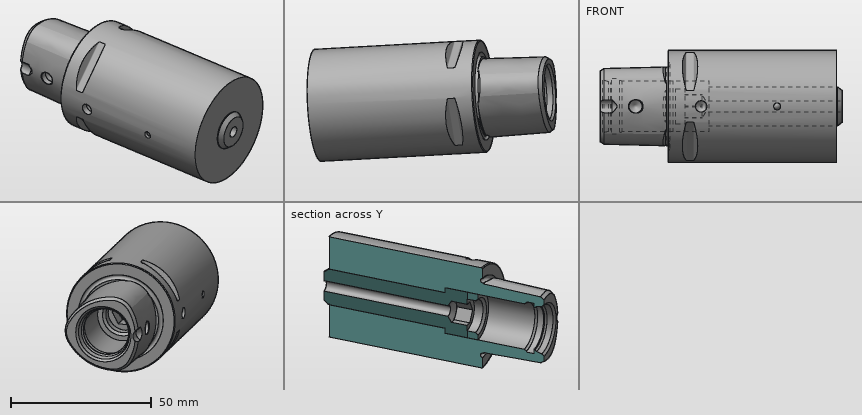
import cadquery as cq
import math


total_length = 86.0
body_diameter = 40.0
body_radius = body_diameter / 2
face_x = 24.0
body_end_x = 84.0
body_chamfer = 0.35

polygon_mean_radius = 14.0
polygon_lobe_height = 1.8
polygon_eccentricity = polygon_lobe_height / 2
corner_arc_radius = 8.2
corner_spacing = 120
taper_end_x = 22.3
taper_per_side = 1 / 40
shank_chamfer_length = 1.4
shank_chamfer_depth = 0.9

neck_radius = 14.0
ledge_length = 0.4
face_groove_outer_radius = 15.65
neck_root_x = face_x + (face_groove_outer_radius - neck_radius) / 2

mouth_radius = 10.15
mouth_chamfer_x = 0.9
mouth_inner_radius = 9.4
lip_start_x = 2.9
lip_start_radius = 8.9
lip_x = 3.6
lip_end_x = 4.0
lip_radius = 8.3
pocket_radius = 9.9
pocket_end_x = 6.45
pocket_fillet = 0.4
bore_x = 7.7
bore_radius = 8.95

slot_count = 4
slot_x = 31.9
slot_floor_width = 2.7
slot_floor_distance = 17.55
slot_wall_angle = 30.0
slot_floor_fillet = 0.4

drill_point_half_angle = 59.0
notch_diameter = 5.0
notch_axis_radius = 13.4
notch_depth = 4.2
notch_point_half_angle = 45.0
shank_dimple_x = 12.55
shank_dimple_diameter = 4.65
shank_dimple_floor_radius = 10.6
shank_dimple_mouth_diameter = 5.3
body_dimple_x = 35.9
body_dimple_diameter = 4.0
body_dimple_floor_radius = 17.6

ball_x = 62.9
ball_diameter = 2.5
ball_radius = ball_diameter / 2
ball_recess = 0.5

ring_x = 25.8
ring_length = 4.3
ring_countersink_radius = 7.1
ring_hole_radius = 6.2
head_x = ring_x + ring_length
head_length = 8.6
shoulder_x = head_x + head_length
bolt_radius = 7.0
bolt_end_radius = 5.7
bolt_chamfer_length = 1.6
coolant_radius = 2.0
socket_across_flats = 8.2
socket_depth = 6.0
socket_turn = 2.0
socket_cone_radius = 4.3


def turned(points):
    """Solid of revolution about X from a closed outline of (x, radius) points."""
    return cq.Workplane("XY").polyline(points).close().revolve(360, (0, 0, 0), (1, 0, 0))


def drill(diameter, length, point_half_angle=drill_point_half_angle):
    """Drill shape along +X from the origin: a cylinder with a conical point."""
    radius = diameter / 2
    tip_x = length + radius / math.tan(math.radians(point_half_angle))
    return turned([(0, 0), (0, radius), (length, radius), (tip_x, 0)])


def radial_drill(x, diameter, start_radius, floor_radius):
    """Drill entering from -Y toward the axis, its cylinder ending at floor_radius."""
    tool = drill(diameter, start_radius - floor_radius)
    return tool.rotate((0, 0, 0), (0, 0, 1), 90).translate((x, -start_radius, 0))


def polygon_wire(x, growth):
    """Closed polygon outline at x, offset outward by growth from the size at the taper end."""
    corner_center = polygon_mean_radius + polygon_eccentricity - corner_arc_radius
    flank_reach = polygon_mean_radius - polygon_eccentricity
    gap = flank_reach - corner_arc_radius
    flank_center = (corner_center**2 - gap**2) / (2 * gap - corner_center)
    across = corner_center + flank_center / 2
    up = flank_center * math.sqrt(3) / 2
    joint_direction = math.atan2(up, across)
    arc_radius = corner_arc_radius + growth
    joint_y = corner_center + arc_radius * math.cos(joint_direction)
    joint_z = arc_radius * math.sin(joint_direction)
    joint_radius = math.hypot(joint_y, joint_z)
    joint_angle = math.degrees(math.atan2(joint_z, joint_y))

    def point(radius, degrees):
        angle = math.radians(degrees)
        return cq.Vector(x, radius * math.cos(angle), radius * math.sin(angle))

    edges = []
    for corner in (0, corner_spacing, 2 * corner_spacing):
        corner_start = point(joint_radius, corner - joint_angle)
        corner_top = point(corner_center + arc_radius, corner)
        corner_end = point(joint_radius, corner + joint_angle)
        flank_middle = point(flank_reach + growth, corner + corner_spacing / 2)
        next_corner_start = point(joint_radius, corner + corner_spacing - joint_angle)
        edges.append(cq.Edge.makeThreePointArc(corner_start, corner_top, corner_end))
        edges.append(cq.Edge.makeThreePointArc(corner_end, flank_middle, next_corner_start))
    return cq.Wire.assembleEdges(edges)


def polygon_section(x_start, growth_start, x_end, growth_end):
    """Length of polygon shank between two outlines."""
    wires = [polygon_wire(x_start, growth_start), polygon_wire(x_end, growth_end)]
    return cq.Workplane(cq.Solid.makeLoft(wires, True))


def make_shank():
    """Chamfered tapered polygon, with its corners turned down to a neck before the face."""
    taper_start_growth = -taper_per_side * (taper_end_x - shank_chamfer_length)
    end_growth = taper_start_growth - shank_chamfer_depth
    chamfer = polygon_section(0, end_growth, shank_chamfer_length, taper_start_growth)
    taper = polygon_section(shank_chamfer_length, taper_start_growth, taper_end_x, 0)
    corner_radius = polygon_mean_radius + polygon_eccentricity
    neck_x = taper_end_x + corner_radius - neck_radius
    neck_envelope = turned([
        (taper_end_x, 0),
        (taper_end_x, corner_radius),
        (neck_x, neck_radius),
        (neck_root_x, neck_radius),
        (neck_root_x, 0),
    ])
    neck = polygon_section(taper_end_x, 0, neck_root_x, 0).intersect(neck_envelope)
    ledge_x = face_x - ledge_length
    ledge = turned([(ledge_x, 0), (ledge_x, neck_radius), (neck_root_x, neck_radius), (neck_root_x, 0)])
    return chamfer.union(taper).union(neck).union(ledge)


def make_body():
    """Cylindrical body with a concave groove in the face around the shank."""
    body = turned([
        (face_x, 0),
        (face_x, body_radius - body_chamfer),
        (face_x + body_chamfer, body_radius),
        (body_end_x, body_radius),
        (body_end_x, 0),
    ])
    groove_middle_radius = (neck_radius + face_groove_outer_radius) / 2
    groove = (
        cq.Workplane("XY")
        .moveTo(face_x, neck_radius)
        .threePointArc((neck_root_x, groove_middle_radius), (face_x, face_groove_outer_radius))
        .close()
        .revolve(360, (0, 0, 0), (1, 0, 0))
    )
    return body.cut(groove)


def make_bore():
    """Stepped bore: mouth, lip, rounded pocket, ring and head bore, then the bolt hole."""
    return (
        cq.Workplane("XY")
        .moveTo(0, 0)
        .lineTo(0, mouth_radius)
        .lineTo(mouth_chamfer_x, mouth_inner_radius)
        .lineTo(lip_start_x, lip_start_radius)
        .lineTo(lip_x, lip_radius)
        .lineTo(lip_end_x, lip_radius)
        .lineTo(lip_end_x, pocket_radius)
        .lineTo(pocket_end_x, pocket_radius)
        .radiusArc((pocket_end_x + pocket_fillet, pocket_radius - pocket_fillet), pocket_fillet)
        .lineTo(bore_x, bore_radius)
        .lineTo(shoulder_x, bore_radius)
        .lineTo(shoulder_x, bolt_radius)
        .lineTo(body_end_x, bolt_radius)
        .lineTo(body_end_x, 0)
        .close()
        .revolve(360, (0, 0, 0), (1, 0, 0))
    )


def make_slot(angle):
    """Cutter for one flared slot with a flat floor, at the given angle about X."""
    height = body_radius - slot_floor_distance
    half_floor = slot_floor_width / 2
    half_top = half_floor + height * math.tan(math.radians(slot_wall_angle))
    return (
        cq.Workplane("XZ", origin=(slot_x, 0, slot_floor_distance))
        .polyline([(-half_floor, 0), (half_floor, 0), (half_top, height), (-half_top, height)])
        .close()
        .extrude(body_radius, both=True)
        .edges("|Y and <Z")
        .fillet(slot_floor_fillet)
        .rotate((0, 0, 0), (1, 0, 0), angle)
    )


def make_shank_dimple():
    """Blind drilled hole in the shank flank with a countersunk mouth."""
    flank_radius = (
        polygon_mean_radius - polygon_eccentricity - taper_per_side * (taper_end_x - shank_dimple_x)
    )
    hole = radial_drill(
        shank_dimple_x, shank_dimple_diameter, polygon_mean_radius, shank_dimple_floor_radius
    )
    countersink = radial_drill(
        shank_dimple_x, shank_dimple_mouth_diameter, polygon_mean_radius, flank_radius
    )
    return hole.union(countersink)


def make_housing():
    housing = make_body().union(make_shank()).cut(make_bore())
    for index in range(slot_count):
        housing = housing.cut(make_slot(360 / slot_count * (index + 0.5)))
    notch = drill(notch_diameter, notch_depth, notch_point_half_angle)
    notch = notch.translate((0, -notch_axis_radius, 0))
    body_dimple = radial_drill(
        body_dimple_x, body_dimple_diameter, body_radius, body_dimple_floor_radius
    )
    ball_hole_depth = ball_recess + ball_diameter
    ball_hole = cq.Workplane(
        cq.Solid.makeCylinder(
            ball_radius, ball_hole_depth, cq.Vector(ball_x, -body_radius, 0), cq.Vector(0, 1, 0)
        )
    )
    return housing.cut(notch).cut(make_shank_dimple()).cut(body_dimple).cut(ball_hole)


def make_retaining_ring():
    """Ring in front of the bolt head, with a countersunk hole for the hexagon key."""
    countersink_end_x = ring_x + ring_countersink_radius - ring_hole_radius
    return turned([
        (ring_x, ring_countersink_radius),
        (ring_x, bore_radius),
        (head_x, bore_radius),
        (head_x, ring_hole_radius),
        (countersink_end_x, ring_hole_radius),
    ])


def make_bolt():
    """Hollow bolt with a hexagon socket in its head and a chamfered end past the body."""
    bolt = turned([
        (head_x, 0),
        (head_x, bore_radius),
        (shoulder_x, bore_radius),
        (shoulder_x, bolt_radius),
        (total_length - bolt_chamfer_length, bolt_radius),
        (total_length, bolt_end_radius),
        (total_length, 0),
    ])
    across_corners = socket_across_flats / math.cos(math.radians(30))
    socket = (
        cq.Workplane("YZ", origin=(head_x, 0, 0))
        .polygon(6, across_corners)
        .extrude(socket_depth)
        .rotate((0, 0, 0), (1, 0, 0), socket_turn)
    )
    socket_floor_x = head_x + socket_depth
    cone_length = (socket_cone_radius - coolant_radius) / math.tan(math.radians(drill_point_half_angle))
    coolant_hole = turned([
        (socket_floor_x, 0),
        (socket_floor_x, socket_cone_radius),
        (socket_floor_x + cone_length, coolant_radius),
        (total_length, coolant_radius),
        (total_length, 0),
    ])
    return bolt.cut(socket).cut(coolant_hole)


def make_ball():
    """Ball resting on the floor of its hole, just below the body surface."""
    center_y = -(body_radius - ball_recess - ball_radius)
    return cq.Workplane("XY", origin=(ball_x, center_y, 0)).sphere(ball_radius)


housing = make_housing()
retaining_ring = make_retaining_ring()
bolt = make_bolt()
ball = make_ball()

bodies = [housing, retaining_ring, bolt, ball]
result = cq.Compound.makeCompound([body.solids().val() for body in bodies])